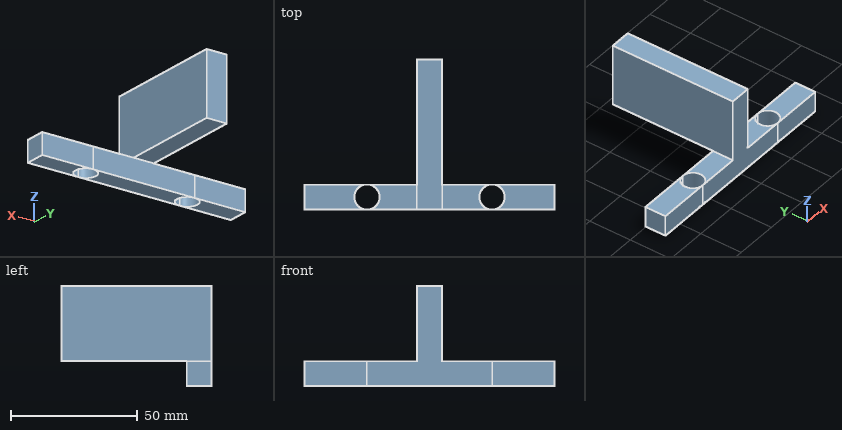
import cadquery as cq

bar_length = 99.23
thickness = bar_length / 10
plate_depth = 6 * thickness
plate_height = 3 * thickness

hole_radius = thickness / 2
hole_x = bar_length / 4
half_length = bar_length / 2
front_y = -thickness / 2
back_y = thickness / 2


def make_bar_end(side):
    """Outer length of the bar: side is -1 for the -X end, +1 for the +X end."""
    return (
        cq.Workplane("XY")
        .moveTo(side * hole_x, front_y)
        .lineTo(side * half_length, front_y)
        .lineTo(side * half_length, back_y)
        .lineTo(side * hole_x, back_y)
        .threePointArc((side * (hole_x + hole_radius), 0), (side * hole_x, front_y))
        .close()
        .extrude(thickness)
    )


def make_bar_middle():
    """Length of the bar between the holes, with a half round hollow at each end."""
    return (
        cq.Workplane("XY")
        .moveTo(-hole_x, front_y)
        .lineTo(hole_x, front_y)
        .threePointArc((hole_x - hole_radius, 0), (hole_x, back_y))
        .lineTo(-hole_x, back_y)
        .threePointArc((hole_radius - hole_x, 0), (-hole_x, front_y))
        .close()
        .extrude(thickness)
    )


def make_plate():
    """Upright plate on top of the bar, flush with its front and overhanging its back."""
    return (
        cq.Workplane("XY", origin=(0, front_y, thickness))
        .box(thickness, plate_depth, plate_height, centered=(True, False, False))
    )


def make_plate_holder():
    """Middle of the bar and its plate as one solid, keeping the seam on the front face."""
    return make_bar_middle().union(make_plate(), clean=False).solids()


plate_holder = make_plate_holder()
bar_ends = [make_bar_end(side) for side in (-1, 1)]

result = cq.Compound.makeCompound(
    [plate_holder.val(), *[bar_end.val() for bar_end in bar_ends]]
)